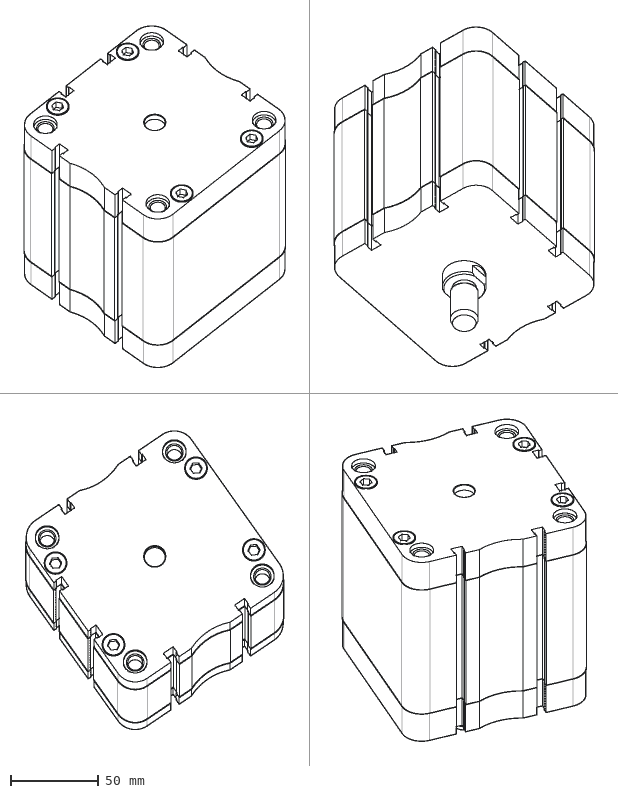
import cadquery as cq
import math


TOTAL_LENGTH = 165.0
BODY_WIDTH = 113.5
BODY_LENGTH = 127.0
CAP_LENGTH = 19.5
CORNER_RADIUS = 12.4
CAP_INSET = 0.3

SLOT_MOUTH_WIDTH = 5.8
SLOT_INNER_WIDTH = 6.8
SIDE_SLOT_OFFSET = 17.3
SIDE_SLOT_MOUTH_DEPTH = 2.0
SIDE_SLOT_DEPTH = 5.8
FRONT_SLOT_OFFSET = 24.9
FRONT_SLOT_MOUTH_DEPTH = 3.0
FRONT_SLOT_DEPTH = 6.8

HOLLOW_WIDTH = 26.9
HOLLOW_DEPTH = 2.8

CENTRE_RECESS_DIAMETER = 12.0
CENTRE_RIM_DIAMETER = 12.7
CENTRE_RECESS_DEPTH = 4.0
MOUNT_HOLE_OFFSET = 44.4
MOUNT_COUNTERBORE_DIAMETER = 13.5
MOUNT_COUNTERBORE_DEPTH = 3.0
MOUNT_HOLE_DIAMETER = 8.5
MOUNT_HOLE_DEPTH = 14.8
MOUNT_CHAMFER_DIAMETER = 10.0

SCREW_X = 49.0
SCREW_Y = 29.2
SCREW_SEAT_DIAMETER = 13.0
SCREW_FACE_DIAMETER = 12.0
HEX_ACROSS_FLATS = 6.0
HEX_DEPTH = 4.5

ROD_DIAMETER = 25.0
ROD_COLLAR_LENGTH = 10.0
ROD_COLLAR_CHAMFER_LENGTH = 1.3
ROD_COLLAR_END_DIAMETER = 23.5
FLATS_WIDTH = 22.0
FLATS_START = 1.3
NECK_DIAMETER = 14.0
NECK_END = 12.7
THREAD_START_LENGTH = 0.7
THREAD_DIAMETER = 16.0
THREAD_TIP_DIAMETER = 13.5
THREAD_TIP_LENGTH = 3.3

ROD_LENGTH = TOTAL_LENGTH - BODY_LENGTH
BARREL_LENGTH = BODY_LENGTH - 2 * CAP_LENGTH
HALF_WIDTH = BODY_WIDTH / 2
HOLLOW_RADIUS = ((HOLLOW_WIDTH / 2) ** 2 + HOLLOW_DEPTH**2) / (2 * HOLLOW_DEPTH)


def slot_cutter(mouth_depth, full_depth, height, inset):
    """T-shaped slot that opens at X = -HALF_WIDTH; an inset shifts its floor and lips inward."""
    on_side = (False, True, False)
    mouth = cq.Workplane("XY").box(full_depth + inset, SLOT_MOUTH_WIDTH, height, centered=on_side)
    inner = cq.Workplane("XY").box(full_depth - mouth_depth, SLOT_INNER_WIDTH, height, centered=on_side)
    inner = inner.translate((mouth_depth + inset, 0, 0))
    return mouth.union(inner).translate((-HALF_WIDTH, 0, 0))


def body_section(bottom, height, inset=0.0):
    """Length of the outer profile with slots and hollows, moved inward by the inset."""
    width = BODY_WIDTH - 2 * inset
    section = cq.Workplane("XY").box(width, width, height, centered=(True, True, False))
    section = section.edges("|Z").fillet(CORNER_RADIUS - inset)

    hollow_centre = HALF_WIDTH - HOLLOW_DEPTH + HOLLOW_RADIUS
    hollows = cq.Workplane("XY").pushPoints([(0, -hollow_centre), (0, hollow_centre)])
    section = section.cut(hollows.circle(HOLLOW_RADIUS + inset).extrude(height))

    side_slot = slot_cutter(SIDE_SLOT_MOUTH_DEPTH, SIDE_SLOT_DEPTH, height, inset)
    front_slot = slot_cutter(FRONT_SLOT_MOUTH_DEPTH, FRONT_SLOT_DEPTH, height, inset)
    for side in (-1, 1):
        section = section.cut(side_slot.translate((0, side * SIDE_SLOT_OFFSET, 0)))
        for turn in (-90, 90):
            turned_slot = front_slot.rotate((0, 0, 0), (0, 0, 1), turn)
            section = section.cut(turned_slot.translate((side * FRONT_SLOT_OFFSET, 0, 0)))
    return section.translate((0, 0, bottom))


def corner_points(x, y):
    return [(-x, -y), (x, -y), (x, y), (-x, y)]


def cone_cutter(diameter, end_diameter, top):
    """Downward 45 degree cone frustum whose large face lies at the height `top`."""
    radius = diameter / 2
    end_radius = end_diameter / 2
    depth = radius - end_radius
    return cq.Workplane(cq.Solid.makeCone(end_radius, radius, depth, cq.Vector(0, 0, top - depth)))


def make_barrel():
    return body_section(CAP_LENGTH, BARREL_LENGTH)


def make_front_cap():
    """Lower cap with the bore for the piston rod."""
    bore = cq.Workplane("XY").circle(ROD_DIAMETER / 2).extrude(CAP_LENGTH)
    return body_section(0, CAP_LENGTH, CAP_INSET).cut(bore)


def make_end_cap():
    """Upper cap with the centre recess, mounting holes and flush screw heads."""
    cap = body_section(BODY_LENGTH - CAP_LENGTH, CAP_LENGTH, CAP_INSET)
    top = cq.Workplane("XY", origin=(0, 0, BODY_LENGTH))
    cap = cap.cut(top.circle(CENTRE_RECESS_DIAMETER / 2).extrude(-CENTRE_RECESS_DEPTH))
    cap = cap.cut(cone_cutter(CENTRE_RIM_DIAMETER, CENTRE_RECESS_DIAMETER, BODY_LENGTH))

    mount_points = corner_points(MOUNT_HOLE_OFFSET, MOUNT_HOLE_OFFSET)
    mounts = top.pushPoints(mount_points)
    cap = cap.cut(mounts.circle(MOUNT_COUNTERBORE_DIAMETER / 2).extrude(-MOUNT_COUNTERBORE_DEPTH))
    cap = cap.cut(mounts.circle(MOUNT_HOLE_DIAMETER / 2).extrude(-MOUNT_HOLE_DEPTH))
    counterbore_floor = BODY_LENGTH - MOUNT_COUNTERBORE_DEPTH
    countersink = cone_cutter(MOUNT_CHAMFER_DIAMETER, MOUNT_HOLE_DIAMETER, counterbore_floor)
    for x, y in mount_points:
        cap = cap.cut(countersink.translate((x, y, 0)))

    groove_depth = (SCREW_SEAT_DIAMETER - SCREW_FACE_DIAMETER) / 2
    head_edge = cq.Solid.makeCone(
        SCREW_SEAT_DIAMETER / 2,
        SCREW_FACE_DIAMETER / 2,
        groove_depth,
        cq.Vector(0, 0, BODY_LENGTH - groove_depth),
    )
    groove = top.circle(SCREW_SEAT_DIAMETER / 2).extrude(-groove_depth).cut(cq.Workplane(head_edge))
    hex_across_corners = HEX_ACROSS_FLATS / math.cos(math.pi / 6)
    socket = top.polygon(6, hex_across_corners).extrude(-HEX_DEPTH)
    socket = socket.rotate((0, 0, 0), (0, 0, 1), 90)
    for x, y in corner_points(SCREW_X, SCREW_Y):
        cap = cap.cut(groove.translate((x, y, 0)))
        cap = cap.cut(socket.translate((x, y, 0)))
    return cap


def make_piston_rod():
    """Rod through the front cap, with a collar with two wrench flats, a neck and a thread."""
    rod_radius = ROD_DIAMETER / 2
    neck_radius = NECK_DIAMETER / 2
    thread_radius = THREAD_DIAMETER / 2
    rod = (
        cq.Workplane("XZ")
        .moveTo(0, CAP_LENGTH)
        .lineTo(rod_radius, CAP_LENGTH)
        .lineTo(rod_radius, ROD_COLLAR_CHAMFER_LENGTH - ROD_COLLAR_LENGTH)
        .lineTo(ROD_COLLAR_END_DIAMETER / 2, -ROD_COLLAR_LENGTH)
        .lineTo(neck_radius, -ROD_COLLAR_LENGTH)
        .lineTo(neck_radius, -NECK_END)
        .lineTo(thread_radius, -NECK_END - THREAD_START_LENGTH)
        .lineTo(thread_radius, THREAD_TIP_LENGTH - ROD_LENGTH)
        .lineTo(THREAD_TIP_DIAMETER / 2, -ROD_LENGTH)
        .lineTo(0, -ROD_LENGTH)
        .close()
        .revolve(360, (0, 0), (0, 1))
    )

    flat_half = FLATS_WIDTH / 2
    flat_depth = rod_radius - flat_half
    for side in (-1, 1):
        flat = (
            cq.Workplane("XZ")
            .moveTo(side * rod_radius, -FLATS_START)
            .lineTo(side * flat_half, -FLATS_START - flat_depth)
            .lineTo(side * flat_half, -ROD_COLLAR_LENGTH)
            .lineTo(side * rod_radius, -ROD_COLLAR_LENGTH)
            .close()
            .extrude(rod_radius, both=True)
        )
        rod = rod.cut(flat)
    return rod


barrel = make_barrel()
front_cap = make_front_cap()
end_cap = make_end_cap()
piston_rod = make_piston_rod()

result = cq.Compound.makeCompound([barrel.val(), front_cap.val(), end_cap.val(), piston_rod.val()])